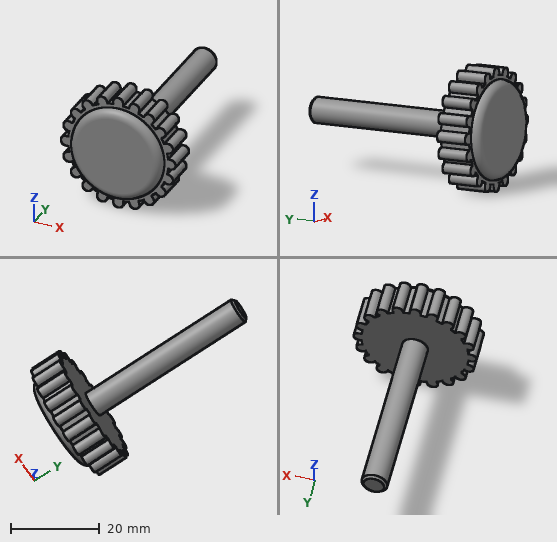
import cadquery as cq
import math

shank_diameter = 6.0
shank_length = 40.0
shank_tip_chamfer = 0.613

head_outer_diameter = 28.5
head_root_diameter = 24.9
head_thickness = 7.3

lobe_count = 20
lobe_width = 2.5

crown_diameter = 23.0
crown_height = 2.0
crown_flat_diameter = crown_diameter - 2 * crown_height

lobe_tip_radius = lobe_width / 2
lobe_center_radius = head_outer_diameter / 2 - lobe_tip_radius
lobe_stem_length = lobe_center_radius - crown_diameter / 2
lobe_stem_middle = lobe_center_radius - lobe_stem_length / 2


def sketch_plane(y):
    """Workplane square to the screw axis at position y, extruding toward +Y."""
    return cq.Workplane(cq.Plane(origin=(0, y, 0), xDir=(1, 0, 0), normal=(0, 1, 0)))


def make_grip():
    """Round grip body with full-length lobes: straight-sided stems with round tips."""
    grip = sketch_plane(-head_thickness).circle(head_root_diameter / 2).extrude(head_thickness)
    tips = (
        sketch_plane(-head_thickness)
        .polarArray(lobe_center_radius, 0, 360, lobe_count)
        .circle(lobe_tip_radius)
        .extrude(head_thickness)
    )
    stems = (
        sketch_plane(-head_thickness)
        .polarArray(lobe_stem_middle, 0, 360, lobe_count)
        .rect(lobe_stem_length, lobe_width)
        .extrude(head_thickness)
    )
    return grip.union(stems).union(tips)


def make_crown():
    """Raised disc on the end of the head, its edge a quarter round of the crown's height."""
    base_y = -head_thickness
    end_y = base_y - crown_height
    rim_radius = crown_diameter / 2
    flat_radius = crown_flat_diameter / 2
    quarter_round_offset = crown_height * math.cos(math.radians(45))
    profile = (
        cq.Workplane("XY")
        .moveTo(0, base_y)
        .lineTo(rim_radius, base_y)
        .threePointArc(
            (flat_radius + quarter_round_offset, base_y - quarter_round_offset),
            (flat_radius, end_y),
        )
        .lineTo(0, end_y)
        .close()
    )
    return profile.revolve(360, (0, 0, 0), (0, 1, 0))


def make_shank():
    """Plain shank with a chamfered free end, rooted in the head."""
    shank = sketch_plane(-head_thickness).circle(shank_diameter / 2).extrude(head_thickness + shank_length)
    return shank.faces(">Y").edges().chamfer(shank_tip_chamfer)


result = make_grip().union(make_crown()).union(make_shank())